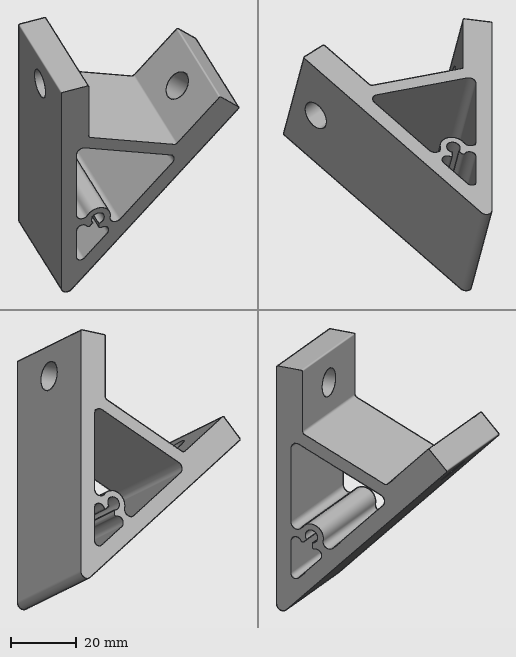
import cadquery as cq
import math


width = 35.0
height = 80.0
arm_angle = 45.0
apex_radius = 2.0

arm_thickness = 9.0
wall_thickness = 5.0
end_radius = 0.5
web_thickness = 4.0
web_to_end = 20.6
web_outer_radius = 1.0
cavity_radius = 2.0
cavity_apex_radius = 1.5

hole_diameter = 9.0
hole_to_end = 10.0

boss_offset = 12.0
boss_radius = 4.1
bore_radius = 2.1
upper_fillet_radius = 2.0
lower_fillet_radius = 1.8
slot_side_offset = 0.3
lip_radius = 0.6

half_angle = math.radians(arm_angle / 2)
apex_height = apex_radius * (1 / math.tan(half_angle) - 1)
arm_length = height + apex_height
boss_center = (boss_offset, boss_offset / math.tan(half_angle))


def mirrored(point):
    """Reflect a section point about the bisector of the arms."""
    y, z = point
    turn = math.radians(180 - arm_angle)
    return (
        y * math.cos(turn) + z * math.sin(turn),
        y * math.sin(turn) - z * math.cos(turn),
    )


def section():
    """Workplane of the section, on the bracket's -X face."""
    return cq.Workplane("YZ").workplane(offset=-width / 2)


def prism(points):
    return section().polyline(points).close().extrude(width)


def cylinder(center, radius):
    return section().center(*center).circle(radius).extrude(width)


def round_corners(body, corners, radius):
    """Fillet the width-long edges that pass through the given section points."""
    for y, z in corners:
        edge = cq.selectors.NearestToPointSelector((0, y, z))
        body = body.edges("|X").edges(edge).fillet(radius)
    return body


def web_height(y):
    """Z of the web's outer line at a given Y; the web runs square to the bisector."""
    return arm_length - web_to_end - (y - arm_thickness) * math.tan(half_angle)


def make_outline():
    """Solid body bounded by the outer faces of the arms and the web."""
    end_outer = (0, arm_length)
    end_inner = (arm_thickness, arm_length)
    web_corner = (arm_thickness, web_height(arm_thickness))
    apex = (0, 0)
    half = [end_outer, end_inner, web_corner]
    other_half = [mirrored(point) for point in reversed(half)]
    body = prism([apex] + half + other_half)
    body = round_corners(body, [apex], apex_radius)
    for corner, radius in zip(half, (end_radius, end_radius, web_outer_radius)):
        body = round_corners(body, [corner, mirrored(corner)], radius)
    return body


def make_cavity():
    """Three-sided opening enclosed by the two walls and the web."""
    bottom = (wall_thickness, wall_thickness / math.tan(half_angle))
    top = (wall_thickness, web_height(wall_thickness) - web_thickness / math.cos(half_angle))
    cavity = prism([bottom, top, mirrored(top)])
    cavity = round_corners(cavity, [top, mirrored(top)], cavity_radius)
    return round_corners(cavity, [bottom], cavity_apex_radius)


def fillet_center(radius, side):
    """Center of a circle touching the upright wall and the boss, above (+1) or below (-1) it."""
    y = wall_thickness + radius
    rise = math.sqrt((boss_radius + radius) ** 2 - (boss_offset - y) ** 2)
    return (y, boss_center[1] + side * rise)


def make_boss():
    """Boss joined to both walls by necks that sweep tangentially into boss and wall."""
    upper = fillet_center(upper_fillet_radius, 1)
    lower = fillet_center(lower_fillet_radius, -1)
    mid_wall = wall_thickness / 2
    neck = [boss_center, upper, (mid_wall, upper[1]), (mid_wall, lower[1]), lower]
    boss = cylinder(boss_center, boss_radius)
    boss = boss.union(prism(neck)).union(prism([mirrored(point) for point in neck]))
    for center, radius in ((upper, upper_fillet_radius), (lower, lower_fillet_radius)):
        boss = boss.cut(cylinder(center, radius)).cut(cylinder(mirrored(center), radius))
    return cut_screw_channel(boss)


def cut_screw_channel(boss):
    """Bore the boss and open it toward the apex with a wedge slot that has rounded lips."""
    slot_y = boss_offset + slot_side_offset
    slot_tip = (slot_y, slot_y / math.tan(half_angle))
    slot_mouth = (slot_y, boss_center[1] - 2 * boss_radius)
    lip = (slot_y, boss_center[1] - math.sqrt(boss_radius**2 - slot_side_offset**2))
    boss = boss.cut(cylinder(boss_center, bore_radius))
    boss = boss.cut(prism([slot_tip, slot_mouth, mirrored(slot_mouth)]))
    return round_corners(boss, [lip, mirrored(lip)], lip_radius)


def make_mounting_hole():
    """Hole square through the upright arm."""
    center_height = arm_length - hole_to_end
    hole = cq.Workplane("XZ").center(0, center_height).circle(hole_diameter / 2)
    return hole.extrude(-arm_thickness)


upright_hole = make_mounting_hole()
slanted_hole = upright_hole.translate((0, -arm_thickness, 0))
slanted_hole = slanted_hole.rotate((0, 0, 0), (1, 0, 0), -arm_angle)

bracket = make_outline().cut(make_cavity()).union(make_boss())
bracket = bracket.cut(upright_hole).cut(slanted_hole)
result = bracket.translate((0, 0, -apex_height))